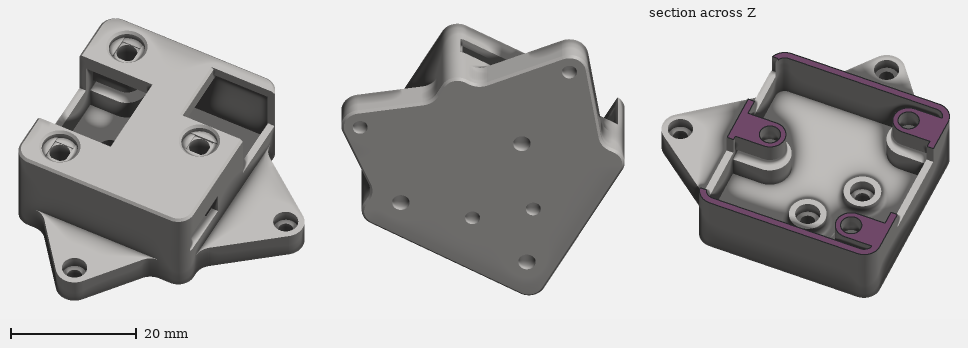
import cadquery as cq
import math

case_x = 31.05
case_y = 32.8
case_z = 16.6
corner_radius = 2.75
wall = 1.17
edge_chamfer = 0.4
floor_z = 3.0
seam_z = 7.95
sill_z = 8.2
inner_radius = corner_radius - wall
far_wall_x = case_x - wall

mount_y = 16.3
mount_pitch = 31.55
mount_hole_diameter = 2.4
mount_head_diameter = 4.0
mount_top_z = 5.0
mount_seat_z = floor_z
ear_radius = 3.0
front_ear_x = 15.15
front_ear_reach = 7.6
front_ear_half_width = 11.18
side_ear_reach = 9.45
side_ear_half_width = 12.75
boss_diameter = 6.0
boss_fillet = 1.0

ear_holes = [
    (case_x + side_ear_reach, mount_y),
    (front_ear_x, -front_ear_reach),
]
boss_holes = [
    (case_x + side_ear_reach - mount_pitch, mount_y),
    (front_ear_x, mount_pitch - front_ear_reach),
]

case_screws = [
    (5.9, 4.95, -1),
    (5.9, 27.9, -1),
    (25.0, mount_y, 1),
]
base_post_radius = 3.5
base_post_top_z = 6.7
base_screw_diameter = 2.8
lid_post_radius = 2.55
lid_screw_diameter = 3.3
screw_head_diameter = 5.8
screw_seat_z = 15.4
seat_step = 0.2

ceiling_z = 13.8
high_ceiling_z = 14.87

left_opening_x = 13.1
left_opening_y0 = 8.65
left_opening_y1 = 22.95
right_opening_x = 20.15
right_opening_y0 = 19.6
right_opening_y1 = 30.5
socket_y0 = 1.85
socket_y1 = 11.15
socket_top_z = 11.8
roof_pocket_y0 = 11.4
roof_pocket_y1 = 20.15
roof_pocket_depth = 4.35
roof_pocket_top_z = 15.45


def box(x0, x1, y0, y1, z0, z1):
    """Block between two opposite corners."""
    return cq.Workplane("XY").box(x1 - x0, y1 - y0, z1 - z0, centered=False).translate((x0, y0, z0))


def cylinder(x, y, diameter, z0, z1):
    """Upright cylinder between two heights."""
    return cq.Workplane("XY", origin=(x, y, z0)).circle(diameter / 2).extrude(z1 - z0)


def rounded_block(inset, radius, z0, z1):
    """Block with the case outline moved inwards and its upright edges rounded."""
    block = box(inset, case_x - inset, inset, case_y - inset, z0, z1)
    return block.edges("|Z").fillet(radius)


def screw_post(x, y, side, radius, z0, z1):
    """Round post with a web of the same width that reaches into the left or right wall."""
    wall_x = wall / 2 if side < 0 else case_x - wall / 2
    web = box(min(x, wall_x), max(x, wall_x), y - radius, y + radius, z0, z1)
    return cylinder(x, y, 2 * radius, z0, z1).union(web)


def ear(half_width, reach):
    """Ear pointing along -Y from the X axis; its tip and its flares into the wall share one radius."""
    r = ear_radius
    centre_gap = math.hypot(half_width, reach - r)
    flank_angle = math.asin(2 * r / centre_gap) + math.atan2(reach - r, half_width)
    tangent_x = r * math.sin(flank_angle)
    tangent_y = r * math.cos(flank_angle)
    flare_mid_x = half_width - r * math.sin(flank_angle / 2)
    flare_mid_y = -r + r * math.cos(flank_angle / 2)
    flare_end_x = half_width - tangent_x
    flare_end_y = -r + tangent_y
    tip_y = -reach - tangent_y
    outline = (
        cq.Workplane("XY")
        .moveTo(-half_width, wall)
        .lineTo(half_width, wall)
        .lineTo(half_width, 0)
        .threePointArc((flare_mid_x, flare_mid_y), (flare_end_x, flare_end_y))
        .lineTo(tangent_x, tip_y)
        .threePointArc((0, -reach - r), (-tangent_x, tip_y))
        .lineTo(-flare_end_x, flare_end_y)
        .threePointArc((-flare_mid_x, flare_mid_y), (-half_width, 0))
        .close()
    )
    return outline.extrude(mount_top_z)


def base_shell():
    """Chamfered outer shape with both ears, hollowed down to the floor."""
    front_ear = ear(front_ear_half_width, front_ear_reach).translate((front_ear_x, 0, 0))
    side_ear = ear(side_ear_half_width, side_ear_reach).rotate((0, 0, 0), (0, 0, 1), 90)
    side_ear = side_ear.translate((case_x, mount_y, 0))
    shell = rounded_block(0, corner_radius, 0, seam_z).union(front_ear).union(side_ear)
    shell = shell.faces("<Z").chamfer(edge_chamfer)
    return shell.cut(rounded_block(wall, inner_radius, floor_z, seam_z))


def opening_sills():
    """Two raised lengths of rim that fill the lid's wall openings below the sill height."""
    rim = rounded_block(0, corner_radius, seam_z, sill_z)
    rim = rim.cut(rounded_block(wall, inner_radius, seam_z, sill_z))
    left_sill = box(0, wall, left_opening_y0, left_opening_y1, seam_z, sill_z)
    right_sill = box(far_wall_x, case_x, right_opening_y0, right_opening_y1, seam_z, sill_z)
    return rim.intersect(left_sill.union(right_sill))


def mounting_boss(x, y):
    """Floor boss with a fillet round its foot."""
    radius = boss_diameter / 2
    profile = (
        cq.Workplane("XZ")
        .moveTo(0, floor_z)
        .lineTo(radius + boss_fillet, floor_z)
        .radiusArc((radius, floor_z + boss_fillet), boss_fillet)
        .lineTo(radius, mount_top_z)
        .lineTo(0, mount_top_z)
        .close()
    )
    return profile.revolve(360, (0, 0, 0), (0, 1, 0)).translate((x, y, 0))


def mounting_hole(x, y):
    """Through hole with a counterbore from the top."""
    head = cylinder(x, y, mount_head_diameter, mount_seat_z, mount_top_z)
    return cylinder(x, y, mount_hole_diameter, 0, mount_top_z).union(head)


def make_base():
    """Lower half of the case, with the ears, bosses and screw posts."""
    body = base_shell().union(opening_sills())
    for x, y, side in case_screws:
        body = body.union(screw_post(x, y, side, base_post_radius, floor_z, base_post_top_z))
        body = body.cut(cylinder(x, y, base_screw_diameter, 0, base_post_top_z))
    for x, y in boss_holes:
        body = body.union(mounting_boss(x, y))
    for x, y in boss_holes + ear_holes:
        body = body.cut(mounting_hole(x, y))
    return body


def lid_shell():
    """Chamfered outer shape, hollowed up to the stepped ceiling."""
    shell = rounded_block(0, corner_radius, seam_z, case_z).faces(">Z").chamfer(edge_chamfer)
    right_side = box(right_opening_x, case_x, 0, case_y, seam_z, case_z)
    high_cavity = rounded_block(wall, inner_radius, seam_z, high_ceiling_z).intersect(right_side)
    return shell.cut(rounded_block(wall, inner_radius, seam_z, ceiling_z)).cut(high_cavity)


def lid_screw_hole(x, y, side):
    """Chamfered head bore, then a slot across it, a square and a round through hole."""
    head = cylinder(x, y, screw_head_diameter, screw_seat_z, case_z)
    head = head.union(
        cq.Workplane("XY", origin=(x, y, case_z - edge_chamfer))
        .circle(screw_head_diameter / 2)
        .workplane(offset=edge_chamfer)
        .circle(screw_head_diameter / 2 + edge_chamfer)
        .loft()
    )

    half_hole = lid_screw_diameter / 2
    half_head = screw_head_diameter / 2
    half_x, half_y = (half_hole, half_head) if side < 0 else (half_head, half_hole)
    slot_z = screw_seat_z - seat_step
    slot = box(x - half_x, x + half_x, y - half_y, y + half_y, slot_z, screw_seat_z)
    slot = slot.intersect(cylinder(x, y, screw_head_diameter, slot_z, screw_seat_z))
    square = box(x - half_hole, x + half_hole, y - half_hole, y + half_hole, slot_z - seat_step, slot_z)
    shaft = cylinder(x, y, lid_screw_diameter, seam_z, screw_seat_z)
    return head.union(slot).union(square).union(shaft)


def left_opening():
    """Opening through the roof and the left wall, with a pocket under the roof beyond it."""
    pocket_x = left_opening_x + roof_pocket_depth
    opening = box(0, left_opening_x, left_opening_y0, left_opening_y1, seam_z, case_z)
    pocket = box(left_opening_x, pocket_x, roof_pocket_y0, roof_pocket_y1, ceiling_z, roof_pocket_top_z)
    return opening.union(pocket)


def right_opening():
    """Opening through the roof and the right wall, with a bevel along its inner roof edge."""
    profile = (
        cq.Workplane("XZ", origin=(0, right_opening_y1, 0))
        .moveTo(right_opening_x, seam_z)
        .lineTo(case_x, seam_z)
        .lineTo(case_x, case_z)
        .lineTo(right_opening_x - edge_chamfer, case_z)
        .lineTo(right_opening_x, case_z - edge_chamfer)
        .close()
    )
    return profile.extrude(right_opening_y1 - right_opening_y0)


def make_lid():
    """Upper half of the case, with its screw posts and openings."""
    body = lid_shell()
    for x, y, side in case_screws:
        body = body.union(screw_post(x, y, side, lid_post_radius, sill_z, high_ceiling_z))
    socket = box(far_wall_x, case_x, socket_y0, socket_y1, seam_z, socket_top_z)
    body = body.cut(left_opening()).cut(right_opening()).cut(socket)
    for x, y, side in case_screws:
        body = body.cut(lid_screw_hole(x, y, side))
    return body


base = make_base()
lid = make_lid()
result = cq.Compound.makeCompound([base.solids().val(), lid.solids().val()])